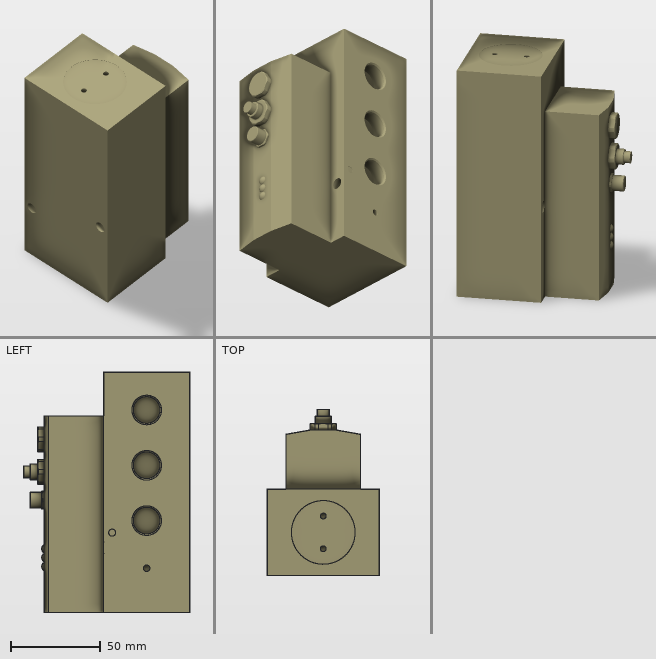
import cadquery as cq
import math


block_width = 63.0
block_depth = 48.5
block_height = 135.0
block_mid_y = block_depth / 2

housing_width = 42.0
housing_height = 110.5
housing_rear_y = 81.8
housing_half_width = housing_width / 2
rear_flat_half_width = housing_width / 6
bevel_angle = 10.0
bevel_depth = (housing_half_width - rear_flat_half_width) * math.tan(math.radians(bevel_angle))

cover_diameter = 35.8
cover_recess = 0.1
cover_hole_diameter = 3.2
cover_hole_depth = 5.4
cover_hole_offset = 9.2

port_diameter = 15.0
port_chamfer = 0.8
port_depth = 9.0
port_pitch = 31.0
middle_port_z = 82.8

earth_hole_diameter = 3.6
earth_hole_depth = 6.8
earth_hole_z = 25.0
mark_diameter = 3.9
mark_depth = 0.1
mark_y = 43.6
mark_z = 45.0

drill_tip_angle = 118.0

mounting_hole_diameter = 6.5
mounting_hole_x = 25.9
mounting_holes = [(-mounting_hole_x, 36.5), (mounting_hole_x, 55.5)]

socket_nut_z = 97.3
plug_z = 79.1
stub_z = 63.2
nut_across_flats = 14.0
nut_corner_diameter = 15.0
nut_height = 3.6
rim_chamfer_width = 0.7
rim_chamfer_height = 0.4
sleeve_diameter = 9.0
sleeve_length = 7.8
sleeve_chamfer = 0.3
plug_tip_diameter = 6.8
plug_tip_length = 11.5
collar_across_flats = 10.1
collar_corner_diameter = 11.1
collar_height = 1.4

lamp_diameter = 4.9
lamp_height = 1.4
lamp_pitch = 5.0
middle_lamp_z = 30.9


def rear_plane(z):
    """Plane on the rear face of the housing at height z, facing +Y."""
    return cq.Plane(origin=(0, housing_rear_y, z), xDir=(1, 0, 0), normal=(0, 1, 0))


def left_plane(y, z):
    """Plane on the left side of the block, facing into the block."""
    return cq.Plane(origin=(-block_width / 2, y, z), xDir=(0, 1, 0), normal=(1, 0, 0))


def section_plane(plane):
    """Plane for (radius, height) profiles, its y axis along the given plane's normal."""
    return cq.Plane(origin=plane.origin, xDir=plane.xDir, normal=-plane.yDir)


def turned(plane, profile):
    """Solid turned about the plane's normal from (radius, height) points."""
    outline = cq.Workplane(section_plane(plane)).polyline(profile).close()
    return outline.revolve(360, (0, 0, 0), (0, 1, 0))


def three_spaced(middle, pitch):
    """Three evenly spaced heights about the middle one."""
    return [middle - pitch, middle, middle + pitch]


def drilled(plane, diameter, depth):
    """Blind drilled hole with a conical tip, running along the plane's normal."""
    radius = diameter / 2
    tip = radius / math.tan(math.radians(drill_tip_angle / 2))
    return turned(plane, [(0, 0), (radius, 0), (radius, depth), (0, depth + tip)])


def make_block():
    return cq.Workplane("XY").box(block_width, block_depth, block_height, centered=(True, False, False))


def make_housing():
    bevel_y = housing_rear_y - bevel_depth
    outline = [
        (-housing_half_width, block_depth),
        (housing_half_width, block_depth),
        (housing_half_width, bevel_y),
        (rear_flat_half_width, housing_rear_y),
        (-rear_flat_half_width, housing_rear_y),
        (-housing_half_width, bevel_y),
    ]
    return cq.Workplane("XY").polyline(outline).close().extrude(housing_height)


def make_hexagon(z, across_flats, corner_diameter, height):
    """Hexagon with flats above and below, its corners rounded and its outer rim chamfered."""
    plane = rear_plane(z)
    corner_radius = corner_diameter / 2
    hexagon = cq.Workplane(plane).polygon(6, across_flats / math.cos(math.pi / 6)).extrude(height)
    envelope = turned(plane, [
        (0, 0),
        (corner_radius, 0),
        (corner_radius, height - rim_chamfer_height),
        (corner_radius - rim_chamfer_width, height),
        (0, height),
    ])
    return hexagon.intersect(envelope)


def make_nut(z):
    return make_hexagon(z, nut_across_flats, nut_corner_diameter, nut_height)


def make_sleeve(z):
    sleeve = cq.Workplane(rear_plane(z)).circle(sleeve_diameter / 2).extrude(sleeve_length)
    return sleeve.faces(">Y").chamfer(sleeve_chamfer)


def make_plug():
    tip = cq.Workplane(rear_plane(plug_z)).circle(plug_tip_diameter / 2).extrude(plug_tip_length)
    return make_nut(plug_z).union(make_sleeve(plug_z)).union(tip)


def make_stub():
    collar = make_hexagon(stub_z, collar_across_flats, collar_corner_diameter, collar_height)
    return collar.union(make_sleeve(stub_z))


def make_lamp(z):
    """Domed lamp, a spherical cap."""
    radius = lamp_diameter / 2
    sphere_radius = (radius**2 + lamp_height**2) / (2 * lamp_height)
    mid_angle = math.asin(radius / sphere_radius) / 2
    mid_arc = (
        sphere_radius * math.sin(mid_angle),
        lamp_height - sphere_radius * (1 - math.cos(mid_angle)),
    )
    outline = cq.Workplane(section_plane(rear_plane(z))).lineTo(radius, 0)
    outline = outline.threePointArc(mid_arc, (0, lamp_height)).close()
    return outline.revolve(360, (0, 0, 0), (0, 1, 0))


def cut_cover(body):
    top = cq.Workplane("XY", origin=(0, block_mid_y, block_height))
    body = body.cut(top.circle(cover_diameter / 2).extrude(-cover_recess))
    for offset in (-cover_hole_offset, cover_hole_offset):
        plane = cq.Plane(
            origin=(0, block_mid_y + offset, block_height - cover_recess), xDir=(1, 0, 0), normal=(0, 0, -1)
        )
        body = body.cut(drilled(plane, cover_hole_diameter, cover_hole_depth))
    return body


def make_port(z):
    radius = port_diameter / 2
    return turned(left_plane(block_mid_y, z), [
        (0, 0),
        (radius + port_chamfer, 0),
        (radius, port_chamfer),
        (radius, port_depth),
        (0, port_depth),
    ])


def make_mounting_hole(x, z):
    hole = cq.Workplane("XZ", origin=(x, 0, z)).circle(mounting_hole_diameter / 2)
    return hole.extrude(-block_depth)


result = make_block().union(make_housing())

result = result.union(make_nut(socket_nut_z)).union(make_plug()).union(make_stub())
for lamp_z in three_spaced(middle_lamp_z, lamp_pitch):
    result = result.union(make_lamp(lamp_z))

result = cut_cover(result)
for port_z in three_spaced(middle_port_z, port_pitch):
    result = result.cut(make_port(port_z))
result = result.cut(drilled(left_plane(block_mid_y, earth_hole_z), earth_hole_diameter, earth_hole_depth))
result = result.cut(cq.Workplane(left_plane(mark_y, mark_z)).circle(mark_diameter / 2).extrude(mark_depth))
for hole_x, hole_z in mounting_holes:
    result = result.cut(make_mounting_hole(hole_x, hole_z))